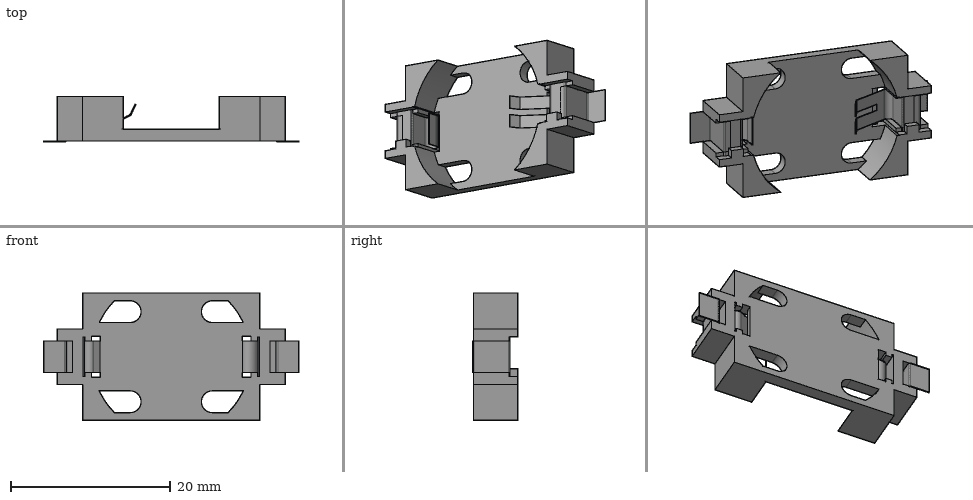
import cadquery as cq
import math

body_length = 22.26
body_height = 16.0
housing_depth = 5.6
floor_thickness = 1.5
cell_radius = 10.0

ear_end = 14.31
ear_height = 7.0
ear_slot_start = 12.39
contact_width = 4.0
shoulder_width = 5.0

window_start = 8.92
window_step = 9.98
window_height = 5.1
slit_start = 10.84
slit_end = 11.04

relief_end = 8.0
relief_y = 0.8

keeper_bottom = -2.5
keeper_top = -1.5
keeper_end = 12.66

drain_round_center = 5.15
drain_level = 5.65
drain_width = 2.7

sheet = 0.14
tab_end = 16.0
tab_drop = 0.1
tab_y = sheet / 2 - tab_drop
riser_x = 13.235
foot_bend = 0.14
shoulder_bend = 0.14
shoulder_top = 4.63
shoulder_y = shoulder_top - sheet / 2
seat_y = shoulder_top - sheet
leg_top_y = shoulder_y - shoulder_bend
leg_x = 10.8

beam_bend = 0.68
beam_bend_y = 1.5
beam_angle = math.radians(27)
beam_knee_x = 5.12
beam_tip_x = 4.48
beam_tip_y = 4.6
fork_start = 8.5
fork_gap = 0.8

hook_bend = (leg_x - window_start - sheet / 2) / 2
hook_bend_y = 2.0
hook_tip_y = 3.5


def box(x_range, y_range, z_range):
    """Box given by its limits along each axis."""
    size = [high - low for low, high in (x_range, y_range, z_range)]
    corner = (x_range[0], y_range[0], z_range[0])
    return cq.Workplane("XY").box(*size, centered=False).translate(corner)


def centered(width):
    """Limits of a width centered on zero."""
    return (-width / 2, width / 2)


def cylinder_along_y(radius, x, z, y_range):
    """Cylinder about a Y-parallel axis through the given X and Z."""
    start = cq.Vector(x, y_range[0], z)
    solid = cq.Solid.makeCylinder(radius, y_range[1] - y_range[0], start, cq.Vector(0, 1, 0))
    return cq.Workplane(solid)


def on_both_ends(shape):
    """The +X shape together with its mirror image at -X."""
    return shape.union(shape.mirror("YZ"))


def make_ear_cuts():
    """Riser slot at the ear end and the wider channel above the contact seat."""
    slot = box((ear_slot_start, ear_end), (0, housing_depth), centered(contact_width))
    channel = box((0, ear_end), (seat_y, housing_depth), centered(shoulder_width))
    return slot.union(channel)


def make_window():
    """Opening that lets the contact spring pass through the floor and the raised end."""
    depth = (0, housing_depth)
    window = box((window_start, window_step), depth, centered(window_height))
    throat = box((window_step, slit_start), depth, centered(contact_width))
    slit = box((slit_start, slit_end), depth, centered(shoulder_width))
    return window.union(throat).union(slit)


def make_relief():
    """Shallow channel in the -X floor that gives the spring beam room to move."""
    return box((-window_start, -relief_end), (relief_y, floor_thickness), centered(window_height))


def make_keeper():
    """Block that overhangs the lower edge of the contact shoulder."""
    return box((slit_end, keeper_end), (seat_y, housing_depth), (keeper_bottom, keeper_top))


def make_drain(z):
    """Slot with a round inner end, limited at its outer end by the cell circle."""
    floor = (0, floor_thickness)
    half_width = drain_width / 2
    straight = box((drain_round_center, cell_radius), floor, (z - half_width, z + half_width))
    round_end = cylinder_along_y(half_width, drain_round_center, z, floor)
    return straight.union(round_end).intersect(cylinder_along_y(cell_radius, 0, 0, floor))


def make_housing():
    """Molded holder with all its openings, without the metal contacts."""
    body = box(centered(body_length), (0, housing_depth), centered(body_height))
    ears = box(centered(2 * ear_end), (0, housing_depth), centered(ear_height))
    pocket = cylinder_along_y(cell_radius, 0, 0, (floor_thickness, housing_depth))
    housing = body.union(ears).cut(pocket)
    housing = housing.cut(on_both_ends(make_ear_cuts()))
    housing = housing.cut(on_both_ends(make_window()))
    housing = housing.cut(make_relief())
    for z in (-drain_level, drain_level):
        housing = housing.cut(on_both_ends(make_drain(z)))
    return housing.union(on_both_ends(make_keeper()))


def strip(path, start, along_x, width):
    """Sheet strip that follows a path in the XY plane, from a start running along X or Y."""
    normal = (-1, 0, 0) if along_x else (0, -1, 0)
    section = cq.Workplane(cq.Plane(origin=(*start, 0), xDir=(0, 0, 1), normal=normal))
    return section.rect(width, sheet).sweep(path, transition="right")


def make_foot():
    """Solder tab bent up into the riser."""
    start = (tab_end, tab_y)
    path = (
        cq.Workplane("XY")
        .moveTo(*start)
        .lineTo(riser_x + foot_bend, tab_y)
        .tangentArcPoint((riser_x, tab_y + foot_bend), relative=False)
        .lineTo(riser_x, leg_top_y)
    )
    return strip(path, start, True, contact_width)


def make_shoulder():
    """Wide part over the contact seat, bent down at both ends."""
    inner_x = leg_x + shoulder_bend
    outer_x = riser_x - shoulder_bend
    shoulder = box((inner_x, outer_x), (seat_y, shoulder_top), centered(shoulder_width))
    outer_radius = shoulder_bend + sheet / 2
    inner_radius = shoulder_bend - sheet / 2
    bend_z = -shoulder_width / 2
    for x, side in ((inner_x, -1), (outer_x, 1)):
        bend = (
            cq.Workplane("XY", origin=(x, leg_top_y, bend_z))
            .circle(outer_radius)
            .circle(inner_radius)
            .extrude(shoulder_width)
        )
        x_range = sorted((x, x + side * outer_radius))
        quarter = box(x_range, (leg_top_y, shoulder_top), centered(shoulder_width))
        shoulder = shoulder.union(bend.intersect(quarter))
    return shoulder


def make_beam():
    """Leg, bottom bend and rising forked beam with a steeper tip, built on the +X side."""
    start = (leg_x, leg_top_y)
    center_x = leg_x - beam_bend
    bend_end_x = center_x - beam_bend * math.sin(beam_angle)
    bend_end_y = beam_bend_y - beam_bend * math.cos(beam_angle)
    knee_y = bend_end_y + (bend_end_x - beam_knee_x) * math.tan(beam_angle)
    path = (
        cq.Workplane("XY")
        .moveTo(*start)
        .lineTo(leg_x, beam_bend_y)
        .tangentArcPoint((bend_end_x, bend_end_y), relative=False)
        .lineTo(beam_knee_x, knee_y)
        .lineTo(beam_tip_x, beam_tip_y)
    )
    fork = box((0, fork_start), (0, housing_depth), centered(fork_gap))
    return strip(path, start, False, contact_width).cut(fork)


def make_hook():
    """Leg and half-round bend that returns up as the upright contact face."""
    start = (leg_x, leg_top_y)
    face_x = leg_x - 2 * hook_bend
    path = (
        cq.Workplane("XY")
        .moveTo(*start)
        .lineTo(leg_x, hook_bend_y)
        .tangentArcPoint((face_x, hook_bend_y), relative=False)
        .lineTo(face_x, hook_tip_y)
    )
    return strip(path, start, False, contact_width)


housing = make_housing()
contact_base = make_foot().union(make_shoulder())
beam_contact = contact_base.union(make_beam()).mirror("YZ")
hook_contact = contact_base.union(make_hook())
result = housing.union(beam_contact).union(hook_contact)